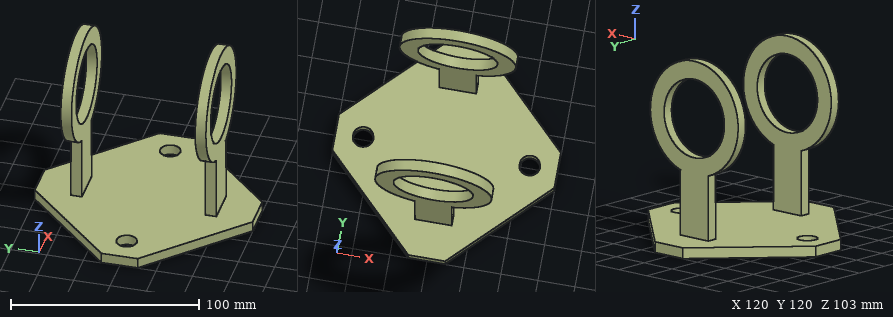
import cadquery as cq

plate_span = 120.0
plate_flat = 20.0
thickness = 6.0

hole_diameter = 11.0
hole_spacing = 90.0

total_height = 103.0
ring_outer_radius = 31.5
ring_inner_radius = 21.5
stem_width = plate_flat
support_outer_span = 80.0

ring_center_z = total_height - ring_outer_radius
support_center_y = (support_outer_span - thickness) / 2


def make_plate():
    """Diamond-shaped octagonal plate resting on Z = 0, with two through holes."""
    half_span = plate_span / 2
    half_flat = plate_flat / 2
    outline = [
        (half_span, half_flat),
        (half_flat, half_span),
        (-half_flat, half_span),
        (-half_span, half_flat),
        (-half_span, -half_flat),
        (-half_flat, -half_span),
        (half_flat, -half_span),
        (half_span, -half_flat),
    ]
    plate = cq.Workplane("XY").polyline(outline).close().extrude(thickness)
    hole_centers = [(-hole_spacing / 2, 0), (hole_spacing / 2, 0)]
    return plate.faces(">Z").workplane(origin=(0, 0, 0)).pushPoints(hole_centers).hole(hole_diameter)


def make_ring_support(center_y):
    """Upright ring and stem, centred on the given Y; the stem starts at the plate underside."""
    stem_plane = cq.Workplane("XZ", origin=(0, center_y, ring_center_z / 2))
    stem_outline = stem_plane.rect(stem_width, ring_center_z)
    stem = stem_outline.extrude(thickness / 2, both=True)
    ring_plane = cq.Workplane("XZ", origin=(0, center_y, ring_center_z))
    disc = ring_plane.circle(ring_outer_radius).extrude(thickness / 2, both=True)
    opening = ring_plane.circle(ring_inner_radius).extrude(thickness / 2, both=True)
    return stem.union(disc).cut(opening)


result = make_plate()
for side in (-1, 1):
    result = result.union(make_ring_support(side * support_center_y))